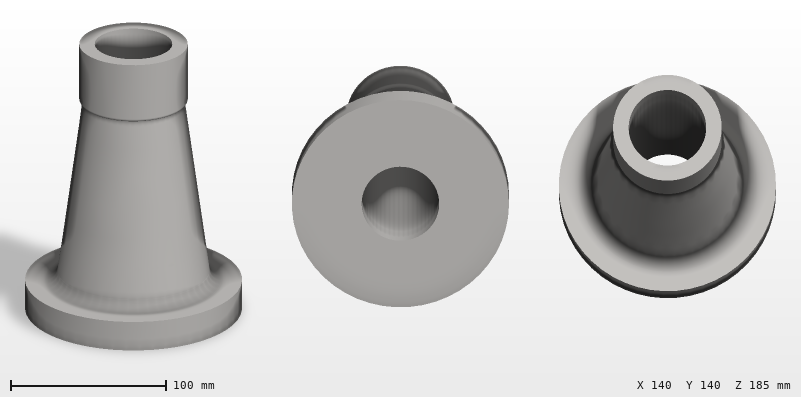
import cadquery as cq

flange_diameter = 140.0
flange_thickness = 20.0

cone_base_diameter = 100.0
base_fillet_radius = 8.0

total_height = 185.0
collar_diameter = 70.0
collar_height = 40.0
collar_edge_radius = 2.0

bore_diameter = 50.0

collar_bottom = total_height - collar_height
flange_radius = flange_diameter / 2
collar_radius = collar_diameter / 2
cone_base_radius = cone_base_diameter / 2
cone_top_radius = collar_radius - collar_edge_radius

selection_margin = 1.0


def make_outer_body():
    """Flange, cone and collar as one solid of revolution about Z."""
    profile = (
        cq.Workplane("XZ")
        .lineTo(flange_radius, 0)
        .lineTo(flange_radius, flange_thickness)
        .lineTo(cone_base_radius, flange_thickness)
        .lineTo(cone_top_radius, collar_bottom)
        .radiusArc((collar_radius, collar_bottom + collar_edge_radius), -collar_edge_radius)
        .lineTo(collar_radius, total_height)
        .lineTo(0, total_height)
        .close()
    )
    return profile.revolve(360, (0, 0, 0), (0, 1, 0))


def round_cone_foot(body):
    """Fillet the inside corner where the cone meets the flange."""
    reach = cone_base_radius + selection_margin
    cone_foot = cq.selectors.BoxSelector(
        (-reach, -reach, flange_thickness - selection_margin),
        (reach, reach, flange_thickness + selection_margin),
        boundingbox=True,
    )
    return body.edges(cone_foot).fillet(base_fillet_radius)


def make_bore():
    """Straight cylinder through the full height."""
    return cq.Workplane("XY").circle(bore_diameter / 2).extrude(total_height)


result = round_cone_foot(make_outer_body()).cut(make_bore())